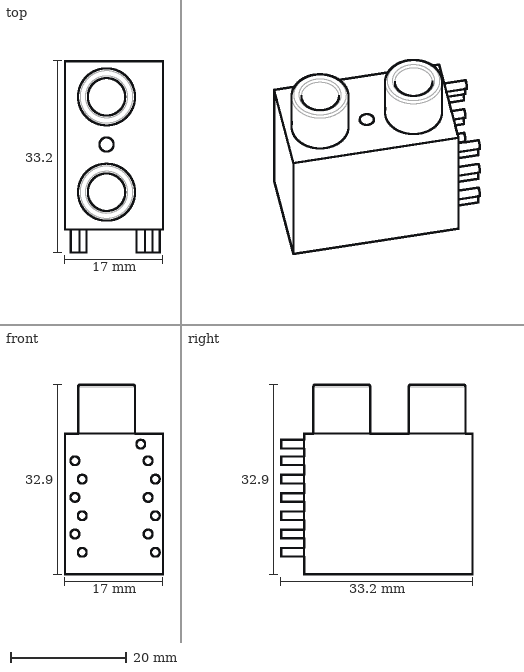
import cadquery as cq

block_width = 17.0
block_depth = 29.2
block_height = 24.4

tube_diameter = 9.9
tube_height = 8.5
tube_x = 7.2
tube_spacing = 16.55
rear_tube_inset = 6.18
bore_diameter = 6.5
rim_rounding = 0.4
rear_tube_y = block_depth - rear_tube_inset
front_tube_y = rear_tube_y - tube_spacing
small_hole_diameter = 2.45
small_hole_depth = tube_height

pin_diameter = 1.53
pin_length = 4.0
pin_root = 0.65
column_x = 1.73
column_spacing = 12.68
stagger = 1.25
rows = 6
lowest_row_z = 3.82
highest_row_z = 19.7
row_pitch = (highest_row_z - lowest_row_z) / (rows - 1)
single_pin_x = column_x + column_spacing - stagger
single_pin_z = 22.58


def make_tube(y):
    """Tube with a bore down to the block top and rounded rim edges."""
    return (
        cq.Workplane("XY", origin=(tube_x, y, block_height))
        .circle(tube_diameter / 2)
        .circle(bore_diameter / 2)
        .extrude(tube_height)
        .faces(">Z")
        .edges()
        .fillet(rim_rounding)
    )


def pin_positions():
    """X, Z centres of all pins; even rows, from the bottom, shift right."""
    positions = [(single_pin_x, single_pin_z)]
    for row in range(rows):
        shift = stagger if row % 2 == 0 else 0
        z = lowest_row_z + row * row_pitch
        for column in range(2):
            positions.append((column_x + column * column_spacing + shift, z))
    return positions


block = cq.Workplane("XY").box(block_width, block_depth, block_height, centered=False)

small_hole = (
    cq.Workplane("XY", origin=(tube_x, (front_tube_y + rear_tube_y) / 2, block_height))
    .circle(small_hole_diameter / 2)
    .extrude(-small_hole_depth)
)

pins = (
    cq.Workplane("XZ", origin=(0, pin_root, 0))
    .pushPoints(pin_positions())
    .circle(pin_diameter / 2)
    .extrude(pin_root + pin_length)
)

result = block.cut(small_hole).union(pins)
for tube_y in (front_tube_y, rear_tube_y):
    result = result.union(make_tube(tube_y))